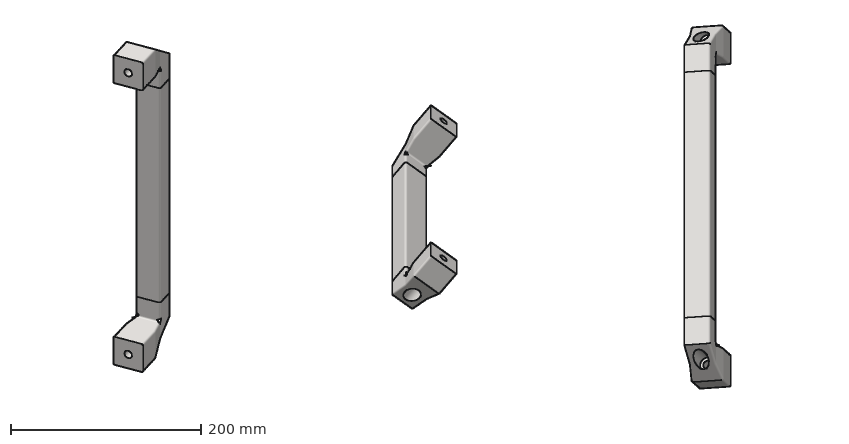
import cadquery as cq

length = 385.0
height = 71.0
half_length = length / 2

grip_width = 29.0
grip_depth = 24.3
grip_front = height - grip_depth

foot_size = 35.0
foot_height = 29.3
slope_drop = 29.5
joint_drop = 59.3

corner_radius = 2.5
inner_corner_radius = 2.0

screw_diameter = 9.0
head_diameter = 15.8
head_seat = foot_height

tolerance = 0.05

foot_inner_z = half_length - foot_size
joint_z = half_length - joint_drop
screw_z = half_length - foot_size / 2


def make_grip():
    """Straight rectangular bar with rounded long edges."""
    return (
        cq.Workplane("XY", origin=(0, grip_front + grip_depth / 2, -joint_z))
        .rect(grip_width, grip_depth)
        .extrude(2 * joint_z)
        .edges("|Z")
        .fillet(corner_radius)
    )


def side_solid():
    """Side profile of the upper end piece at full foot width, with its inner corner rounded."""
    return (
        cq.Workplane("YZ")
        .polyline([
            (0, foot_inner_z),
            (grip_front, foot_inner_z),
            (grip_front, joint_z),
            (height, joint_z),
            (height, half_length - slope_drop),
            (foot_height, half_length),
            (0, half_length),
        ])
        .close()
        .extrude(foot_size / 2, both=True)
        .edges(cq.NearestToPointSelector((0, grip_front, foot_inner_z)))
        .fillet(inner_corner_radius)
    )


def plan_solid():
    """Outline seen along Z: foot width, tapering to the grip width at the grip front."""
    return (
        cq.Workplane("XY", origin=(0, 0, joint_z))
        .polyline([
            (-foot_size / 2, 0),
            (foot_size / 2, 0),
            (foot_size / 2, foot_height),
            (grip_width / 2, grip_front),
            (grip_width / 2, height),
            (-grip_width / 2, height),
            (-grip_width / 2, grip_front),
            (-foot_size / 2, foot_height),
        ])
        .close()
        .extrude(joint_drop)
    )


def side_corner_edges(blank):
    """Edges bounding the left and right sides, except at the foot base and grip joint."""
    faces = blank.faces().vals()
    side_faces = [face for face in faces if abs(face.normalAt().x) > 0.5]
    edges = []
    for edge in blank.edges().vals():
        touching = [face for face in side_faces if any(edge.isSame(other) for other in face.Edges())]
        middle = edge.Center()
        is_open_end = middle.y < tolerance or middle.z < joint_z + tolerance
        if len(touching) == 1 and not is_open_end:
            edges.append(edge)
    return edges


def screw_cut():
    """Stepped hole along Y: screw clearance at the foot base, head bore from the slope."""
    hole_plane = cq.Workplane("XZ", origin=(0, 0, screw_z))
    clearance = hole_plane.circle(screw_diameter / 2).extrude(-height)
    head_bore = (
        hole_plane.workplane(offset=-head_seat)
        .circle(head_diameter / 2)
        .extrude(head_seat - height)
    )
    return clearance.union(head_bore)


def make_end():
    """Upper end piece with rounded side corners and a recessed screw hole."""
    blank = side_solid().intersect(plan_solid())
    rounded = blank.newObject(side_corner_edges(blank)).fillet(corner_radius)
    return rounded.cut(screw_cut())


grip = make_grip()
upper_end = make_end()
ends = [upper_end.rotate((0, 0, 0), (0, 1, 0), angle) for angle in (0, 180)]

result = cq.Compound.makeCompound([grip.val(), *[end.val() for end in ends]])